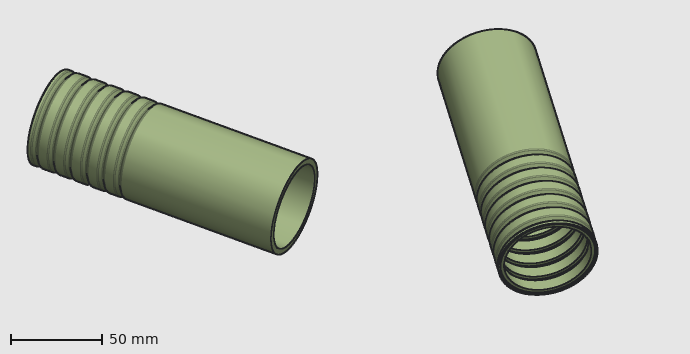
import cadquery as cq
import math

length = 150.0
outer_radius = 56.0 / 2
bore_radius = 49.0 / 2

groove_count = 6
first_groove_x = 4.2
groove_pitch = 10.2
groove_depth = 2.4
flank_angle = math.radians(55)
shoulder_fillet = 0.9
groove_root_radius = 0.5

hollow_radius = 53.1 / 2
hollow_width = 3.0
mouth_radius = 54.0 / 2
chamfer_angle = 45
first_hollow_x = first_groove_x - groove_pitch / 2


def arc_offset(radius, angle):
    """Axial and radial distance from an arc's level end to a point turned by angle."""
    return radius * math.sin(angle), radius * (1 - math.cos(angle))


def add_groove(profile, center_x):
    """Continue the profile through one rounded V groove, towards +X."""
    root_level = outer_radius - groove_depth
    root_dx, root_rise = arc_offset(groove_root_radius, flank_angle)
    shoulder_dx, shoulder_drop = arc_offset(shoulder_fillet, flank_angle)
    mid_dx, mid_drop = arc_offset(shoulder_fillet, flank_angle / 2)
    flank_rise = groove_depth - root_rise - shoulder_drop
    flank_end_dx = root_dx + flank_rise / math.tan(flank_angle)
    half_width = flank_end_dx + shoulder_dx

    root_y = root_level + root_rise
    shoulder_y = outer_radius - shoulder_drop
    mid_y = outer_radius - mid_drop
    return (
        profile.lineTo(center_x - half_width, outer_radius)
        .threePointArc((center_x - half_width + mid_dx, mid_y), (center_x - flank_end_dx, shoulder_y))
        .lineTo(center_x - root_dx, root_y)
        .threePointArc((center_x, root_level), (center_x + root_dx, root_y))
        .lineTo(center_x + flank_end_dx, shoulder_y)
        .threePointArc((center_x + half_width - mid_dx, mid_y), (center_x + half_width, outer_radius))
    )


def grooved_cylinder():
    """Solid of revolution about X with all grooves in its surface."""
    profile = cq.Workplane("XY").moveTo(0, 0).lineTo(0, outer_radius)
    for i in range(groove_count):
        profile = add_groove(profile, first_groove_x + i * groove_pitch)
    profile = profile.lineTo(length, outer_radius).lineTo(length, 0).close()
    return profile.revolve(360, (0, 0, 0), (1, 0, 0))


def hollow_cutter(center_x):
    """Disc that widens the bore around center_x."""
    disc = cq.Workplane("YZ").workplane(offset=center_x - hollow_width / 2)
    return disc.circle(hollow_radius).extrude(hollow_width)


bore = cq.Workplane("YZ").circle(bore_radius).extrude(length)
tube = grooved_cylinder().cut(bore)
for i in range(groove_count):
    tube = tube.cut(hollow_cutter(first_hollow_x + i * groove_pitch))

mouth_chamfer = mouth_radius - hollow_radius
mouth = cq.Workplane("YZ").circle(mouth_radius).extrude(mouth_chamfer, taper=chamfer_angle)
tube = tube.cut(mouth)

result = tube.translate((-length / 2, 0, 0))